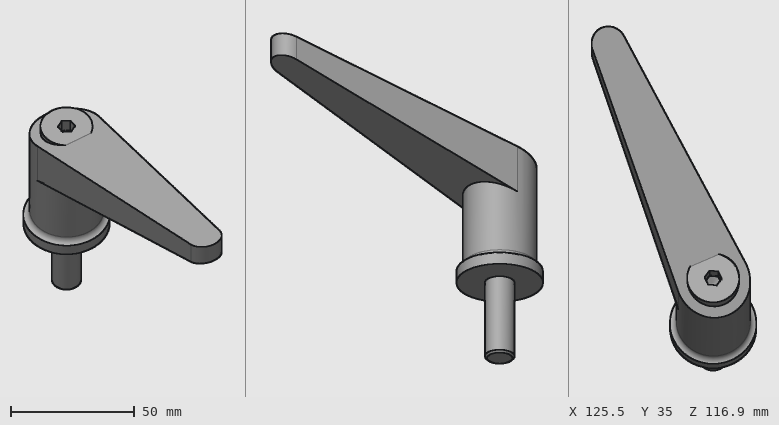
import cadquery as cq
import math


flange_radius = 35.0 / 2
flange_height = 5.1
hub_radius = 30.0 / 2
neck_fillet = flange_radius - hub_radius
stud_radius = 6.0
stud_length = 33.9
stud_chamfer = 0.9

overall_length = 125.5
tip_x = overall_length - flange_radius
tip_radius = 7.0
hub_top_z = 50.7
tip_top_z = 83.0
tip_bottom_z = 73.3
arm_root_bottom_z = 34.6

head_radius = 10.5
head_top_z = 56.8
socket_across_flats = 6.0
socket_depth = 6.0
socket_cone_angle = 118

top_slope = (tip_top_z - hub_top_z) / (tip_x + hub_radius)

tip_center_x = tip_x - tip_radius
tangent_sin = (hub_radius - tip_radius) / tip_center_x
tangent_cos = math.sqrt(1 - tangent_sin**2)
root_x = hub_radius * tangent_sin
root_y = hub_radius * tangent_cos
tip_tangent_x = tip_center_x + tip_radius * tangent_sin
tip_tangent_y = tip_radius * tangent_cos


def cylinder(radius, bottom, top):
    return cq.Workplane("XY").workplane(offset=bottom).circle(radius).extrude(top - bottom)


def extrude_side_profile(points):
    """Extrude an XZ outline across the full width of the hub."""
    return cq.Workplane("XZ").polyline(points).close().extrude(hub_radius, both=True)


def make_base():
    """Flange with a concave neck that runs from its rim up to the hub radius."""
    neck_top = flange_height + neck_fillet
    fillet_middle = neck_fillet * (1 - math.sqrt(0.5))
    return (
        cq.Workplane("XZ")
        .lineTo(flange_radius, 0)
        .lineTo(flange_radius, flange_height)
        .threePointArc(
            (hub_radius + fillet_middle, flange_height + fillet_middle),
            (hub_radius, neck_top),
        )
        .lineTo(0, neck_top)
        .close()
        .revolve(360, (0, 0, 0), (0, 1, 0))
    )


def make_hub():
    """Cylinder cut off along the sloping top plane of the arm."""
    hub_high_z = hub_top_z + top_slope * 2 * hub_radius
    side = extrude_side_profile([
        (-hub_radius, flange_height),
        (hub_radius, flange_height),
        (hub_radius, hub_high_z),
        (-hub_radius, hub_top_z),
    ])
    return cylinder(hub_radius, flange_height, hub_high_z).intersect(side)


def make_arm():
    """Tapered plan outline with a round tip, trimmed to the rising wedge profile."""
    plan = (
        cq.Workplane("XY")
        .moveTo(root_x, -root_y)
        .lineTo(tip_tangent_x, -tip_tangent_y)
        .threePointArc((tip_x, 0), (tip_tangent_x, tip_tangent_y))
        .lineTo(root_x, root_y)
        .close()
        .extrude(tip_top_z)
    )
    root_top_z = hub_top_z + top_slope * (root_x + hub_radius)
    side = extrude_side_profile([
        (root_x, arm_root_bottom_z),
        (tip_x, tip_bottom_z),
        (tip_x, tip_top_z),
        (root_x, root_top_z),
    ])
    return plan.intersect(side)


def make_stud():
    return cylinder(stud_radius, -stud_length, 0).faces("<Z").chamfer(stud_chamfer)


def make_socket():
    """Hexagon with corners along X, ending in a conical bottom."""
    corner_radius = socket_across_flats / math.sqrt(3)
    cone_depth = corner_radius / math.tan(math.radians(socket_cone_angle / 2))
    floor_z = head_top_z - socket_depth
    hexagon = (
        cq.Workplane("XY")
        .workplane(offset=floor_z)
        .polygon(6, 2 * corner_radius)
        .extrude(socket_depth)
    )
    cone = (
        cq.Workplane("XZ")
        .moveTo(0, floor_z)
        .lineTo(corner_radius, floor_z)
        .lineTo(0, floor_z - cone_depth)
        .close()
        .revolve(360, (0, 0, 0), (0, 1, 0))
    )
    return hexagon.union(cone)


head = cylinder(head_radius, flange_height, head_top_z)
result = (
    make_base()
    .union(make_hub())
    .union(make_arm())
    .union(head)
    .union(make_stud())
    .cut(make_socket())
)